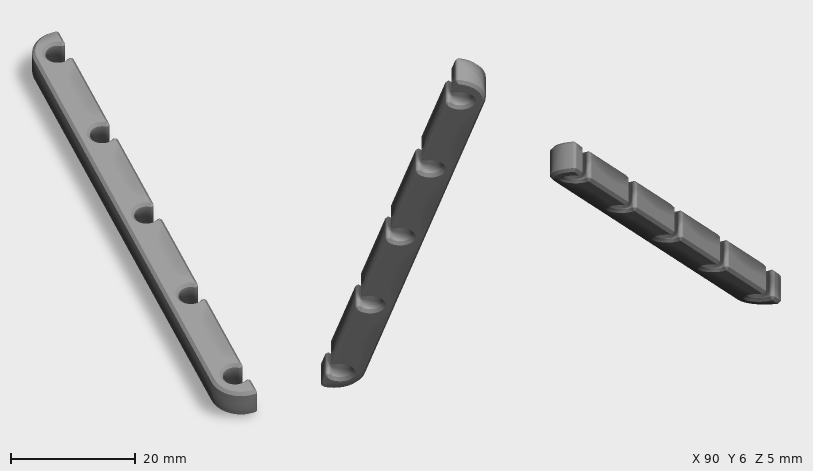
import cadquery as cq
import math

length = 90.0
depth = 6.0
height = 5.0
corner_radius = 5.0
tip_radius = 0.5
edge_chamfer = 0.495

notch_count = 5
notch_radius = 2.0
notch_center_y = 4.05
notch_pitch = (length - 2 * corner_radius) / (notch_count - 1)

lip_center_y = depth - tip_radius
lip_rise = lip_center_y - notch_center_y
lip_reach = notch_radius + tip_radius
lip_offset_x = math.sqrt(lip_reach**2 - lip_rise**2)
touch_fraction = notch_radius / lip_reach
touch_offset_x = lip_offset_x * touch_fraction
touch_y = notch_center_y + lip_rise * touch_fraction
mouth_half_width = lip_offset_x - tip_radius


def add_notch(outline, x):
    """Continue the outline leftwards along the back and around one notch."""
    return (
        outline.lineTo(x + lip_offset_x, depth)
        .threePointArc((x + mouth_half_width, lip_center_y), (x + touch_offset_x, touch_y))
        .threePointArc((x, notch_center_y - notch_radius), (x - touch_offset_x, touch_y))
        .threePointArc((x - mouth_half_width, lip_center_y), (x - lip_offset_x, depth))
    )


def bar_outline():
    """Closed plan outline, starting at the left end of the straight front face."""
    half_length = length / 2
    straight_half = half_length - corner_radius
    tip_half = half_length - tip_radius
    diagonal = math.sqrt(0.5)
    corner_mid_x = straight_half + corner_radius * diagonal
    corner_mid_y = corner_radius * (1 - diagonal)
    tip_mid_x = tip_half + tip_radius * diagonal
    tip_mid_y = lip_center_y + tip_radius * diagonal

    outline = (
        cq.Workplane("XY")
        .moveTo(-straight_half, 0)
        .lineTo(straight_half, 0)
        .threePointArc((corner_mid_x, corner_mid_y), (half_length, corner_radius))
        .lineTo(half_length, lip_center_y)
        .threePointArc((tip_mid_x, tip_mid_y), (tip_half, depth))
    )
    for index in range(notch_count):
        outline = add_notch(outline, straight_half - index * notch_pitch)
    return (
        outline.lineTo(-tip_half, depth)
        .threePointArc((-tip_mid_x, tip_mid_y), (-half_length, lip_center_y))
        .lineTo(-half_length, corner_radius)
        .threePointArc((-corner_mid_x, corner_mid_y), (-straight_half, 0))
        .close()
    )


bar = bar_outline().extrude(height)
result = bar.faces("<Z or >Z").edges().chamfer(edge_chamfer)